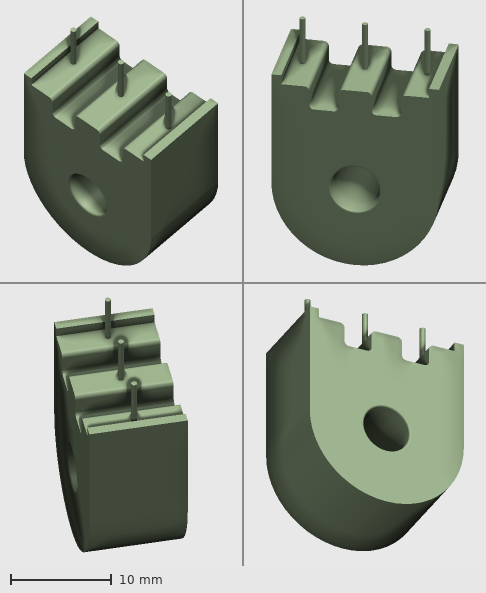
import cadquery as cq

HOUSING_WIDTH = 17.0
HOUSING_DEPTH = 10.0
BOTTOM_RADIUS = HOUSING_WIDTH / 2
TOTAL_HEIGHT = 24.5

PIN_LENGTH = 5.0
RIM_HEIGHT = 1.0
RIM_WIDTH = 1.0
FLOOR_Z = TOTAL_HEIGHT - BOTTOM_RADIUS - PIN_LENGTH
RIM_TOP_Z = FLOOR_Z + RIM_HEIGHT

BORE_DIAMETER = 5.0
BORE_FILLET = 0.2

PIN_DIAMETER = 0.6
PIN_PITCH = 6.35
PIN_POSITIONS = (-PIN_PITCH, 0, PIN_PITCH)

SLOT_WIDTH = 3.0
SLOT_DEPTH = 2.5
SLOT_FILLET = 0.5
SLOT_POSITIONS = (-PIN_PITCH / 2, PIN_PITCH / 2)


def box_from_floor(width, height, x):
    """Full-depth box centred at x; it rises from the floor, or goes down if height is negative."""
    return (
        cq.Workplane("XY", origin=(x, 0, FLOOR_Z))
        .rect(width, HOUSING_DEPTH)
        .extrude(height)
    )


def make_blank():
    """Block with a half-round bottom, up to the tops of the rims."""
    return (
        cq.Workplane("XZ")
        .moveTo(-BOTTOM_RADIUS, RIM_TOP_Z)
        .lineTo(-BOTTOM_RADIUS, 0)
        .threePointArc((0, -BOTTOM_RADIUS), (BOTTOM_RADIUS, 0))
        .lineTo(BOTTOM_RADIUS, RIM_TOP_Z)
        .close()
        .extrude(HOUSING_DEPTH / 2, both=True)
    )


def cut_slot(body, x):
    """Cut one slot across the floor and round its two mouth and two bottom edges."""
    body = body.cut(box_from_floor(SLOT_WIDTH, -SLOT_DEPTH, x))
    margin = SLOT_FILLET / 2
    slot_edges = cq.selectors.BoxSelector(
        (x - SLOT_WIDTH / 2 - margin, -HOUSING_DEPTH, FLOOR_Z - SLOT_DEPTH - margin),
        (x + SLOT_WIDTH / 2 + margin, HOUSING_DEPTH, FLOOR_Z + margin),
    )
    return body.edges("|Y").edges(slot_edges).fillet(SLOT_FILLET)


def cut_bore(body):
    """Cut the through bore and round its mouth on both faces."""
    cutter = cq.Workplane("XZ").circle(BORE_DIAMETER / 2).extrude(HOUSING_DEPTH, both=True)
    body = body.cut(cutter)
    mouth_reach = BORE_DIAMETER
    mouth_edges = cq.selectors.BoxSelector(
        (-mouth_reach, -HOUSING_DEPTH, -mouth_reach),
        (mouth_reach, HOUSING_DEPTH, mouth_reach),
        boundingbox=True,
    )
    return body.edges("%CIRCLE").edges(mouth_edges).fillet(BORE_FILLET)


def make_housing():
    """Housing with its rims, slots and bore."""
    body = make_blank().cut(box_from_floor(HOUSING_WIDTH - 2 * RIM_WIDTH, RIM_HEIGHT, 0))
    for x in SLOT_POSITIONS:
        body = cut_slot(body, x)
    return cut_bore(body)


def make_pin(x):
    """Round pin standing on the housing floor at x."""
    return (
        cq.Workplane("XY", origin=(x, 0, FLOOR_Z))
        .circle(PIN_DIAMETER / 2)
        .extrude(PIN_LENGTH)
    )


housing = make_housing()
pins = [make_pin(x).val() for x in PIN_POSITIONS]

result = cq.Compound.makeCompound([housing.val(), *pins])